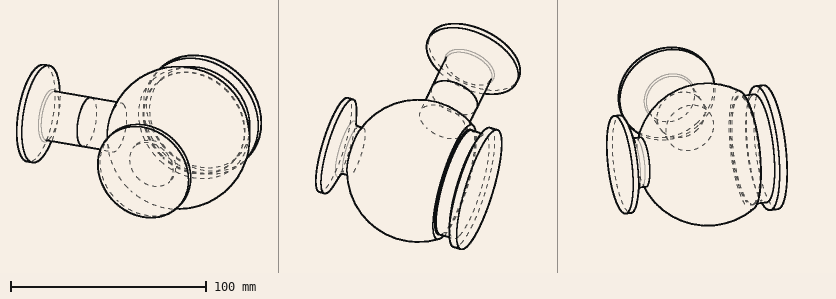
import cadquery as cq
import math

overall_x = 115.6
overall_y = 79.9
ball_diameter = 73.0
ball_radius = ball_diameter / 2

rim_diameter = 50.4
rim_thickness = 2.9
back_angle = math.radians(20)
neck_diameter = 25.5

side_face = overall_x - ball_radius
side_ferrule_length = 28.3
side_pipe_diameter = 25.4
side_blend_radius = 1.3

large_face = 33.4
large_rim_diameter = 63.9
large_rim_thickness = 4.0
large_neck_diameter = 55.7
collar_diameter = 56.2
collar_length = 0.7
ball_cut_y = 19.9

small_face = overall_y - large_face
small_blend_radius = 3.2


def cylinder(plane, diameter, length):
    """Cylinder starting at the plane origin and following its normal."""
    return cq.Workplane(plane).circle(diameter / 2).extrude(length)


def ferrule(plane, length, blend_radius):
    """Revolved ferrule with its face at the plane origin and its neck along the normal.

    An arc tangent to both the sloped back and the neck blends them together.
    """
    rim_radius = rim_diameter / 2
    neck_radius = neck_diameter / 2
    turn = math.pi / 2 - back_angle

    def blend_point(angle, neck_start):
        return (
            neck_radius + blend_radius * (1 - math.cos(angle)),
            neck_start - blend_radius * math.sin(angle),
        )

    cone_end_radius = blend_point(turn, 0)[0]
    cone_length = (rim_radius - cone_end_radius) * math.tan(back_angle)
    neck_start = rim_thickness + cone_length + blend_radius * math.sin(turn)

    profile_plane = cq.Plane(plane.origin, plane.xDir, -plane.yDir)
    return (
        cq.Workplane(profile_plane)
        .lineTo(rim_radius, 0)
        .lineTo(rim_radius, rim_thickness)
        .lineTo(*blend_point(turn, neck_start))
        .threePointArc(blend_point(turn / 2, neck_start), (neck_radius, neck_start))
        .lineTo(neck_radius, length)
        .lineTo(0, length)
        .close()
        .revolve(360, (0, 0), (0, 1))
    )


def ball():
    """Sphere with a flat on its +Y side for the large branch."""
    flat_radius = math.sqrt(ball_radius**2 - ball_cut_y**2)
    return (
        cq.Workplane("XY")
        .moveTo(0, -ball_radius)
        .threePointArc((ball_radius, 0), (flat_radius, ball_cut_y))
        .lineTo(0, ball_cut_y)
        .close()
        .revolve(360, (0, 0), (0, 1))
    )


def side_branch():
    plane = cq.Plane((-side_face, 0, 0), (0, 1, 0), (1, 0, 0))
    pipe_length = side_face - side_ferrule_length
    pipe_plane = cq.Plane((-pipe_length, 0, 0), (0, 1, 0), (1, 0, 0))
    pipe = cylinder(pipe_plane, side_pipe_diameter, pipe_length)
    return ferrule(plane, side_ferrule_length, side_blend_radius).union(pipe)


def small_branch():
    plane = cq.Plane((0, -small_face, 0), (1, 0, 0), (0, 1, 0))
    return ferrule(plane, small_face, small_blend_radius)


def large_branch():
    """Neck and collar on the ball flat, ending in a wide rim with a sloped back."""
    rim_radius = large_rim_diameter / 2
    neck_radius = large_neck_diameter / 2
    collar_radius = collar_diameter / 2
    collar_end = ball_cut_y + collar_length
    rim_back = large_face - large_rim_thickness
    slope_length = (rim_radius - neck_radius) * math.tan(back_angle)
    outline = [
        (0, 0),
        (collar_radius, 0),
        (collar_radius, collar_end),
        (neck_radius, collar_end),
        (neck_radius, rim_back - slope_length),
        (rim_radius, rim_back),
        (rim_radius, large_face),
        (0, large_face),
    ]
    return cq.Workplane("XY").polyline(outline).close().revolve(360, (0, 0), (0, 1))


result = ball().union(large_branch()).union(small_branch()).union(side_branch())